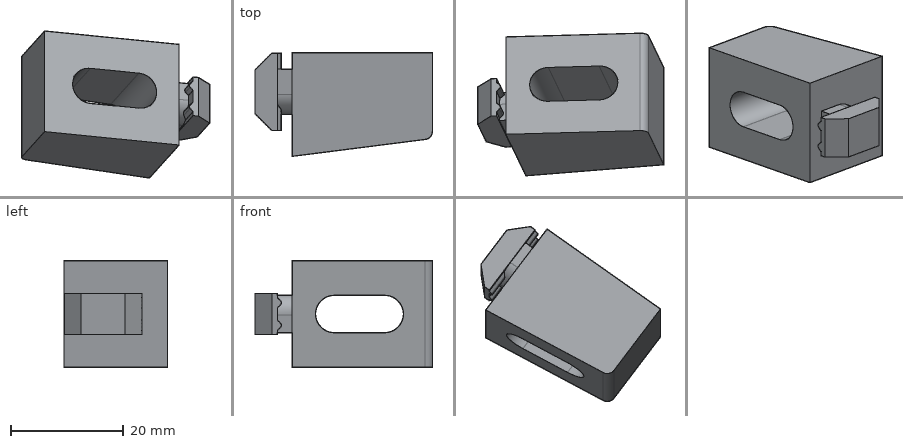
import cadquery as cq
import math

block_length = 25.0
block_height = 19.0
block_depth = 18.5
taper_angle = 7.25
corner_radius = 1.5

slot_length = 15.6
slot_height = 6.6
slot_center_x = 12.0

axis_y = -7.0

head_reach = 6.6
head_thickness = 4.0
head_width = 13.8
head_height = 7.3
head_chamfer = 3.0

neck_width = 8.1
neck_height = 6.7
neck_corner_radius = 3.55

ridge_height = 0.7
ridge_tip_radius = 0.5
ridge_spacing = 4.0

head_back_x = head_thickness - head_reach


def make_block():
    """Block with a tapered front face and one rounded vertical corner."""
    right_depth = block_depth - block_length * math.tan(math.radians(taper_angle))
    block = (
        cq.Workplane("XY")
        .workplane(offset=-block_height / 2)
        .polyline([(0, 0), (block_length, 0), (block_length, -right_depth), (0, -block_depth)])
        .close()
        .extrude(block_height)
    )
    right_front_edge = block.faces(">X").edges("|Z and <Y")
    return right_front_edge.fillet(corner_radius)


def make_slot():
    """Obround cutter running through the full depth of the block."""
    return (
        cq.Workplane("XZ")
        .center(slot_center_x, 0)
        .slot2D(slot_length, slot_height)
        .extrude(block_depth)
    )


def make_head():
    """Bar across the bolt axis with both outer ends chamfered."""
    return (
        cq.Workplane("XY")
        .box(head_thickness, head_width, head_height, centered=(False, True, True))
        .translate((-head_reach, axis_y, 0))
        .faces("<X")
        .edges("|Z")
        .chamfer(head_chamfer)
    )


def make_neck():
    """Rectangular neck with two diagonally opposite corners rounded for a quarter turn."""
    neck = (
        cq.Workplane("XY")
        .box(-head_back_x, neck_width, neck_height, centered=(False, True, True))
        .translate((head_back_x, axis_y, 0))
    )
    front_top = neck.faces("<Y").edges("|X and >Z")
    neck = front_top.fillet(neck_corner_radius)
    back_bottom = neck.faces(">Y").edges("|X and <Z")
    return back_bottom.fillet(neck_corner_radius)


def make_ridge(center_z):
    """Round-tipped ridge along Y, running the full width of the head."""
    diagonal = ridge_tip_radius * math.sqrt(0.5)
    tip_x = head_back_x + ridge_height
    tangent_x = tip_x - ridge_tip_radius + diagonal
    base_half_width = diagonal + tangent_x - head_back_x
    return (
        cq.Workplane("XZ")
        .moveTo(head_back_x, center_z - base_half_width)
        .lineTo(tangent_x, center_z - diagonal)
        .threePointArc((tip_x, center_z), (tangent_x, center_z + diagonal))
        .lineTo(head_back_x, center_z + base_half_width)
        .close()
        .extrude(head_width / 2, both=True)
        .translate((0, axis_y, 0))
    )


result = make_block().cut(make_slot())
result = result.union(make_head()).union(make_neck())
for side in (-1, 1):
    result = result.union(make_ridge(side * ridge_spacing / 2))